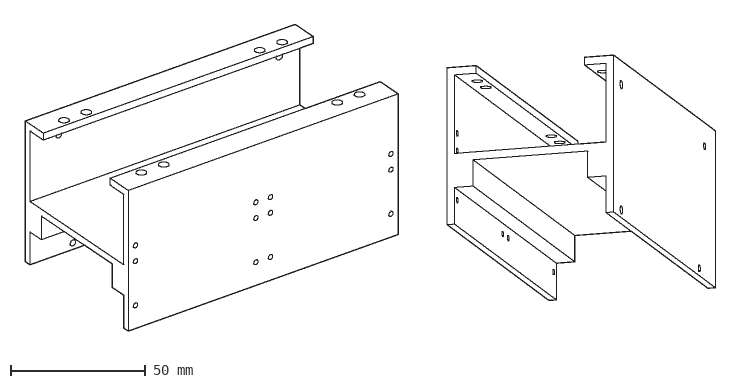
import cadquery as cq

width = 65.0
length = 124.0
height = 60.0
sheet = 3.0

lip_reach = 11.4
floor_top = 27.0
rail_reach = 10.2
rail_bottom = 14.0

lip_hole_diameter = 4.0
lip_hole_inset = 8.0
lip_hole_end_offsets = (11.9, 22.2)

large_hole = 3.0
small_hole = 2.5
left_wall_holes = (
    (52.6, 50.8, large_hole),
    (52.6, 3.0, large_hole),
    (-48.7, 51.0, small_hole),
    (-42.3, 2.9, small_hole),
)

right_hole_diameter = 2.0
right_hole_inset = 3.3
right_hole_pitch = 6.7
right_hole_low = 9.9
right_hole_floor_gap = 1.7
right_hole_middle = floor_top + right_hole_floor_gap
right_hole_heights = (right_hole_low, right_hole_middle, right_hole_middle + right_hole_pitch)

half_width = width / 2
half_length = length / 2
floor_bottom = floor_top - sheet


def bar(x_start, x_end, z_start, z_end):
    """Full-length rectangular bar."""
    return cq.Workplane("XY").box(
        x_end - x_start, length, z_end - z_start, centered=(False, True, False)
    ).translate((x_start, 0, z_start))


def wall_hole(wall_start, y, z, diameter):
    """Cutter passing through one wall along X."""
    return cq.Workplane("YZ", origin=(wall_start, y, z)).circle(diameter / 2).extrude(sheet)


def side_profile():
    """Left wall with its lip and rail."""
    wall = bar(-half_width, -half_width + sheet, 0, height)
    lip = bar(-half_width, -half_width + lip_reach, height - sheet, height)
    rail = bar(-half_width, -half_width + rail_reach, rail_bottom, floor_bottom)
    return wall.union(lip).union(rail)


left_side = side_profile()
body = bar(-half_width, half_width, floor_bottom, floor_top)
body = body.union(left_side).union(left_side.mirror("YZ")).clean()

lip_hole_points = [
    (x_side * (half_width - lip_hole_inset), y_side * (half_length - offset))
    for x_side in (-1, 1)
    for y_side in (-1, 1)
    for offset in lip_hole_end_offsets
]
lip_cutters = (
    cq.Workplane("XY", origin=(0, 0, height - sheet))
    .pushPoints(lip_hole_points)
    .circle(lip_hole_diameter / 2)
    .extrude(sheet)
)
body = body.cut(lip_cutters)

for y, z, diameter in left_wall_holes:
    body = body.cut(wall_hole(-half_width, y, z, diameter))

for y_side in (-1, 1):
    for station in (right_hole_inset, half_length - right_hole_inset):
        for z in right_hole_heights:
            body = body.cut(wall_hole(half_width - sheet, y_side * station, z, right_hole_diameter))

result = body